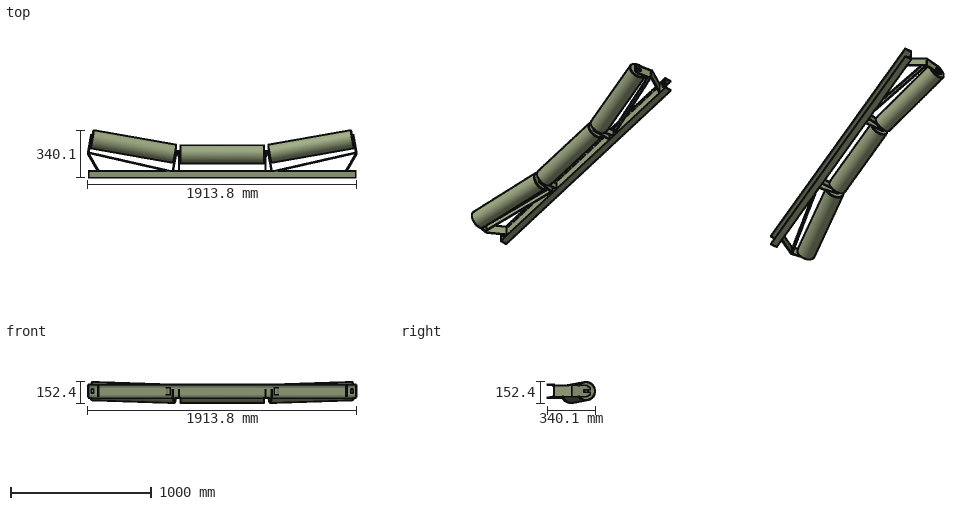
import cadquery as cq
import math


channel_length = 1900.0
channel_height = 100.0
flange_width = 50.0
web_thickness = 6.0
flange_mean_thickness = 8.5
flange_taper = 0.08
root_radius = 8.5
toe_radius = 4.5
mount_slot_width = 18.0
mount_slot_height = 32.0
mount_slot_end_distance = 28.0

roller_diameter = 133.0
roller_length = 600.0
roller_chamfer = 4.0
shaft_diameter = 25.0
shaft_flat_width = 18.0
centre_axis_y = 117.2
wing_inner_end_x = -336.4
wing_inner_end_y = 121.2
trough_angle = 10.0
forward_tilt = 1.87

outer_plate_thickness = 8.0
inner_plate_thickness = 6.0
inner_bracket_height = 60.0
outer_bracket_height = 80.0
roller_gap = 4.0
bridge_top_y = 143.0
outer_bend_y = 124.0
outer_tip_rise = 31.5
outer_leg_angle = 30.0
tip_half_height = 23.0
tip_chamfer_length = 26.0
outer_bend_radius = 8.0

brace_thickness = 6.0
brace_height = 50.0
brace_foot_x = -382.0
brace_angle = 12.8

roller_radius = roller_diameter / 2
trough = math.radians(trough_angle)
tilt = math.radians(forward_tilt)
shaft_flat_end = math.sqrt(shaft_diameter**2 - shaft_flat_width**2) / 2
shaft_overhang = roller_gap + outer_plate_thickness
wing_rise = roller_length * math.sin(tilt)
centre_axis_z = -wing_rise
centre_end_x = -roller_length / 2

wing_direction = cq.Vector(
    -math.cos(trough) * math.cos(tilt),
    math.sin(trough) * math.cos(tilt),
    math.sin(tilt),
)
wing_inner_end = cq.Vector(wing_inner_end_x, wing_inner_end_y, centre_axis_z)
wing_outer_end = wing_inner_end + wing_direction * roller_length

wing_face_slope = math.tan(trough)
inner_face_x = wing_outer_end.x - roller_gap / math.cos(trough)
outer_plate_width = outer_plate_thickness / math.cos(trough)

wing_plane = cq.Plane(
    origin=wing_inner_end.toTuple(),
    xDir=(math.sin(trough), math.cos(trough), 0),
    normal=wing_direction.toTuple(),
)
centre_plane = cq.Plane(
    origin=(centre_end_x, centre_axis_y, centre_axis_z),
    xDir=(0, 1, 0),
    normal=(1, 0, 0),
)


def mirrored(body):
    return body.mirror("YZ")


def shaft_profile(plane, start):
    """Round shaft section with two flats, placed `start` along the plane's normal."""
    half_flat = shaft_flat_width / 2
    radius = shaft_diameter / 2
    return (
        cq.Workplane(plane)
        .workplane(offset=start)
        .moveTo(-shaft_flat_end, -half_flat)
        .lineTo(shaft_flat_end, -half_flat)
        .threePointArc((radius, 0), (shaft_flat_end, half_flat))
        .lineTo(-shaft_flat_end, half_flat)
        .threePointArc((-radius, 0), (-shaft_flat_end, -half_flat))
        .close()
    )


def make_roller(plane):
    shell = cq.Workplane(plane).circle(roller_radius).extrude(roller_length)
    shell = shell.faces("<X or >X").edges().chamfer(roller_chamfer)
    shaft_length = roller_length + 2 * shaft_overhang
    return shell.union(shaft_profile(plane, -shaft_overhang).extrude(shaft_length))


def shaft_slot(plane, start):
    """Cutter for a round-bottomed slot that holds the shaft end and opens towards +Y."""
    slot_depth = 2 * outer_plate_thickness + roller_gap
    slot_length = 100.0
    slot_bottom = -shaft_flat_end - shaft_flat_width / 2
    return (
        cq.Workplane(plane)
        .workplane(offset=start)
        .center(slot_bottom + slot_length / 2, 0)
        .slot2D(slot_length, shaft_flat_width)
        .extrude(slot_depth)
    )


def make_channel():
    half_height = channel_height / 2
    mean_inner_z = half_height - flange_mean_thickness
    half_taper = flange_taper * flange_width / 2
    toe_z = mean_inner_z + half_taper
    root_z = mean_inner_z - half_taper + flange_taper * web_thickness
    profile = [
        (0, -half_height),
        (-flange_width, -half_height),
        (-flange_width, -toe_z),
        (-web_thickness, -root_z),
        (-web_thickness, root_z),
        (-flange_width, toe_z),
        (-flange_width, half_height),
        (0, half_height),
    ]
    beam = cq.Workplane("YZ").polyline(profile).close().extrude(channel_length / 2, both=True)
    for side in (-1, 1):
        root = cq.selectors.NearestToPointSelector((0, -web_thickness, side * root_z))
        beam = beam.edges("|X").edges(root).fillet(root_radius)
        toe = cq.selectors.NearestToPointSelector((0, -flange_width, side * toe_z))
        beam = beam.edges("|X").edges(toe).fillet(toe_radius)
    slot_x = channel_length / 2 - mount_slot_end_distance
    slots = (
        cq.Workplane("XZ")
        .pushPoints([(-slot_x, 0), (slot_x, 0)])
        .slot2D(mount_slot_height, mount_slot_width, 90)
        .extrude(web_thickness)
    )
    return beam.cut(slots)


def extruded_plan(points, height):
    return cq.Workplane("XY").polyline(points).close().extrude(height / 2, both=True)


def make_inner_bracket():
    """Two legs and a bridge that carry the centre roller and the wing roller."""
    face_x = wing_inner_end.x + roller_gap / math.cos(trough)

    def wing_leg_x(y):
        return face_x + (y - wing_inner_end.y) * wing_face_slope

    leg_width = inner_plate_thickness / math.cos(trough)
    centre_leg_x = centre_end_x - roller_gap
    bridge_bottom_y = bridge_top_y - inner_plate_thickness
    bracket = extruded_plan(
        [
            (centre_leg_x, 0),
            (centre_leg_x, bridge_top_y),
            (wing_leg_x(bridge_top_y), bridge_top_y),
            (wing_leg_x(0), 0),
            (wing_leg_x(0) + leg_width, 0),
            (wing_leg_x(bridge_bottom_y) + leg_width, bridge_bottom_y),
            (centre_leg_x - inner_plate_thickness, bridge_bottom_y),
            (centre_leg_x - inner_plate_thickness, 0),
        ],
        inner_bracket_height,
    ).translate((0, 0, centre_axis_z))
    bracket = bracket.cut(shaft_slot(centre_plane, -shaft_overhang))
    return bracket.cut(shaft_slot(wing_plane, -shaft_overhang))


def outer_plate_x(y):
    """X of the roller side of the left outer bracket's upper plate."""
    return inner_face_x + (y - wing_outer_end.y) * wing_face_slope


def make_outer_bracket():
    leg_run = math.tan(math.radians(outer_leg_angle))
    leg_width = outer_plate_thickness / math.cos(math.radians(outer_leg_angle))
    tip_y = wing_outer_end.y + outer_tip_rise
    inner_bend_x = outer_plate_x(outer_bend_y)
    outer_bend_x = inner_bend_x - outer_plate_width
    outer_bend_shift = (leg_width - outer_plate_width) / (leg_run + wing_face_slope)
    outer_corner_y = outer_bend_y - outer_bend_shift
    outer_corner_x = outer_bend_x - outer_bend_shift * wing_face_slope
    foot_x = inner_bend_x + outer_bend_y * leg_run
    bracket = extruded_plan(
        [
            (outer_plate_x(tip_y), tip_y),
            (inner_bend_x, outer_bend_y),
            (foot_x, 0),
            (foot_x - leg_width, 0),
            (outer_corner_x, outer_corner_y),
            (outer_plate_x(tip_y) - outer_plate_width, tip_y),
        ],
        outer_bracket_height,
    )
    outer_corner = cq.selectors.NearestToPointSelector((outer_corner_x, outer_corner_y, 0))
    bracket = bracket.edges("|Z").edges(outer_corner).fillet(outer_bend_radius)
    half_height = outer_bracket_height / 2
    shoulder_y = tip_y - tip_chamfer_length
    outline = (
        cq.Workplane("YZ")
        .polyline(
            [
                (0, -half_height),
                (shoulder_y, -half_height),
                (tip_y, -tip_half_height),
                (tip_y, tip_half_height),
                (shoulder_y, half_height),
                (0, half_height),
            ]
        )
        .close()
        .extrude(-channel_length)
    )
    slot = shaft_slot(wing_plane, roller_length)
    return bracket.intersect(outline).cut(slot)


def make_brace():
    """Sloping strip from the channel up to the outer bracket."""
    rise = math.tan(math.radians(brace_angle))
    width = brace_thickness / math.sin(math.radians(brace_angle))

    def top_end(foot_x):
        y = (foot_x - outer_plate_x(0)) / (1 / rise + wing_face_slope)
        return (outer_plate_x(y), y)

    left_foot = brace_foot_x - width / 2
    right_foot = brace_foot_x + width / 2
    return extruded_plan(
        [(left_foot, 0), (right_foot, 0), top_end(right_foot), top_end(left_foot)],
        brace_height,
    )


channel = make_channel()
centre_roller = make_roller(centre_plane)
wing_roller = make_roller(wing_plane)
inner_bracket = make_inner_bracket()
outer_bracket = make_outer_bracket()
brace = make_brace()

bodies = [channel.solids().val(), centre_roller.solids().val()]
for body in (wing_roller, inner_bracket, outer_bracket, brace):
    bodies.append(body.solids().val())
    bodies.append(mirrored(body).solids().val())

result = cq.Compound.makeCompound(bodies)